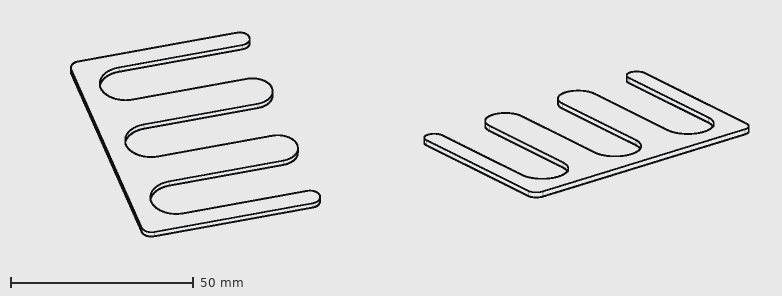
import cadquery as cq

slot_count = 3
slot_pitch = 25.4
slot_width = 14.224
plate_depth = 50.8
thickness = 1.57

plate_width = slot_count * slot_pitch
inner_tine_width = slot_pitch - slot_width
outer_tine_width = inner_tine_width / 2
spine_width = outer_tine_width
slot_radius = slot_width / 2
inner_tip_radius = inner_tine_width / 2
outer_corner_radius = outer_tine_width / 2

left = -plate_width / 2
right = plate_width / 2
back = plate_depth / 2
front = -plate_depth / 2
slot_end = front + spine_width
slot_arc_start = slot_end + slot_radius


def add_tine_tip(outline, start_x, radius):
    """Run up the left side of a tine and round over its tip, moving in +X."""
    end_x = start_x + 2 * radius
    return (
        outline.lineTo(start_x, back - radius)
        .threePointArc((start_x + radius, back), (end_x, back - radius))
    )


def add_slot(outline, start_x):
    """Run down the right side of a tine and around the slot's round end."""
    end_x = start_x + slot_width
    return (
        outline.lineTo(start_x, slot_arc_start)
        .threePointArc((start_x + slot_radius, slot_end), (end_x, slot_arc_start))
    )


def make_plate():
    """Comb-shaped flat plate with its tines pointing in +Y."""
    outline = cq.Workplane("XY").moveTo(left, front + outer_corner_radius)
    outline = add_tine_tip(outline, left, outer_corner_radius)
    for slot in range(slot_count):
        slot_start_x = left + outer_tine_width + slot * slot_pitch
        outline = add_slot(outline, slot_start_x)
        is_last = slot == slot_count - 1
        tip_radius = outer_corner_radius if is_last else inner_tip_radius
        outline = add_tine_tip(outline, slot_start_x + slot_width, tip_radius)
    outline = (
        outline.lineTo(right, front + outer_corner_radius)
        .radiusArc((right - outer_corner_radius, front), outer_corner_radius)
        .lineTo(left + outer_corner_radius, front)
        .radiusArc((left, front + outer_corner_radius), outer_corner_radius)
        .close()
    )
    return outline.extrude(thickness)


result = make_plate()